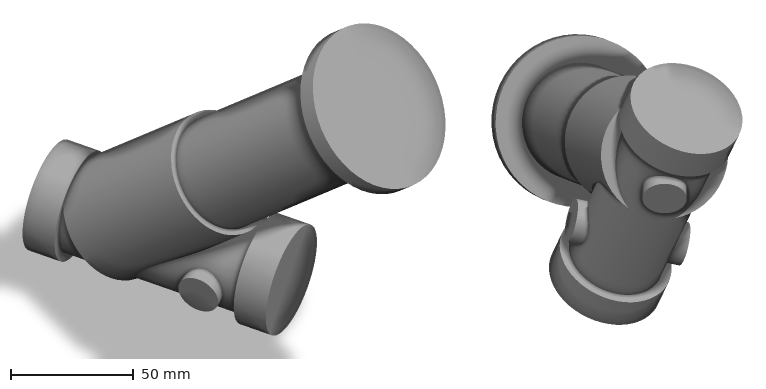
import cadquery as cq
import math

PIPE_DIAMETER = 40.0
RUN_START = -29.5
RUN_LENGTH = 110.0
CAP_DIAMETER = 47.8
CAP_LENGTH = 14.5

BRANCH_ANGLE = math.radians(45.0)
SLEEVE_DIAMETER = 53.0
SLEEVE_LENGTH = 69.0
TUBE_DIAMETER = 48.0
FLANGE_DIAMETER = 70.0
FLANGE_THICKNESS = 8.0
BRANCH_LENGTH = 170.0

BOSS_DIAMETER = 18.0
BOSS_REACH = 24.0
SIDE_BOSS_X = 50.0

RUN_DIRECTION = (1, 0, 0)
BRANCH_DIRECTION = (math.cos(BRANCH_ANGLE), 0, math.sin(BRANCH_ANGLE))


def rod(diameter, start, direction, length):
    """Solid cylinder from a start point along a unit direction."""
    cylinder = cq.Solid.makeCylinder(diameter / 2, length, cq.Vector(*start), cq.Vector(*direction))
    return cq.Workplane(obj=cylinder)


def run_rod(diameter, start_x, length):
    """Cylinder on the run axis."""
    return rod(diameter, (start_x, 0, 0), RUN_DIRECTION, length)


def branch_rod(diameter, distance, length):
    """Cylinder on the branch axis, starting at a distance from the origin."""
    start = [distance * component for component in BRANCH_DIRECTION]
    return rod(diameter, start, BRANCH_DIRECTION, length)


def make_run():
    run = run_rod(PIPE_DIAMETER, RUN_START, RUN_LENGTH)
    far_cap_start = RUN_START + RUN_LENGTH - CAP_LENGTH
    for cap_start in (RUN_START, far_cap_start):
        run = run.union(run_rod(CAP_DIAMETER, cap_start, CAP_LENGTH))
    return run


def make_branch():
    sleeve = branch_rod(SLEEVE_DIAMETER, 0, SLEEVE_LENGTH)
    tube = branch_rod(TUBE_DIAMETER, SLEEVE_LENGTH, BRANCH_LENGTH - SLEEVE_LENGTH)
    flange = branch_rod(FLANGE_DIAMETER, BRANCH_LENGTH - FLANGE_THICKNESS, FLANGE_THICKNESS)
    return sleeve.union(tube).union(flange)


def make_bosses():
    bottom_boss = rod(BOSS_DIAMETER, (0, 0, 0), (0, 0, -1), BOSS_REACH)
    side_bosses = rod(BOSS_DIAMETER, (SIDE_BOSS_X, -BOSS_REACH, 0), (0, 1, 0), 2 * BOSS_REACH)
    return bottom_boss.union(side_bosses)


result = make_run().union(make_branch()).union(make_bosses())